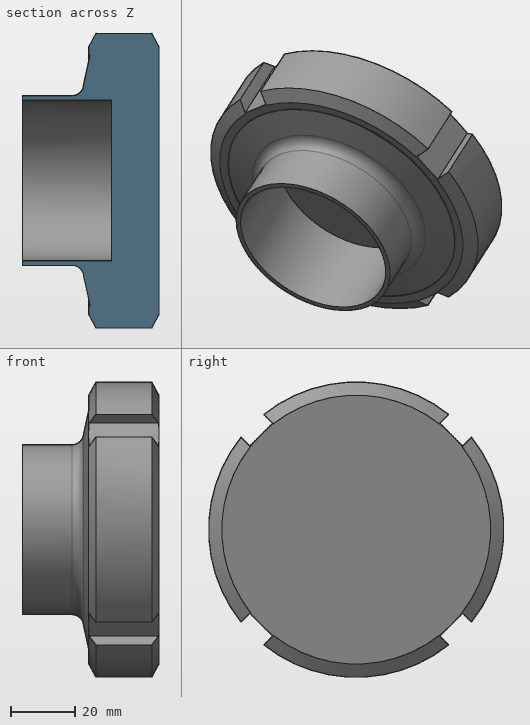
import cadquery as cq

total_length = 42.5

nut_diameter = 92.0
nut_length = 21.9
nut_start = total_length - nut_length
chamfer_length = 2.2
chamfer_depth = 4.1
nut_radius = nut_diameter / 2
nut_face_radius = nut_radius - chamfer_depth

slot_count = 4
slot_width = 10.0
slot_floor_radius = 41.9
first_slot_angle = 45.0

pipe_outer_radius = 53.0 / 2
pipe_bore_radius = 50.0 / 2
bore_depth = 27.7
pipe_length = 15.5
throat_end = 18.95
throat_end_radius = 29.8
collar_radius = 78.0 / 2
collar_end = nut_start + 0.4


def make_nut():
    """Ring blank, chamfered on both rims, with a recess that seats the collar."""
    blank = (
        cq.Workplane("XY")
        .moveTo(nut_start, 0)
        .lineTo(nut_start, nut_face_radius)
        .lineTo(nut_start + chamfer_length, nut_radius)
        .lineTo(total_length - chamfer_length, nut_radius)
        .lineTo(total_length, nut_face_radius)
        .lineTo(total_length, 0)
        .close()
        .revolve(360, (0, 0, 0), (1, 0, 0))
    )
    seat_depth = collar_end - nut_start
    seat = cq.Workplane("YZ", origin=(nut_start, 0, 0)).circle(collar_radius).extrude(seat_depth)
    return blank.cut(seat)


def make_slot(angle):
    """Cutter for one slot, running the full length of the nut."""
    slot = cq.Workplane("XY").box(
        nut_length, slot_width, nut_radius, centered=(False, True, False)
    )
    slot = slot.translate((nut_start, 0, slot_floor_radius))
    return slot.rotate((0, 0, 0), (1, 0, 0), angle)


def make_pipe_and_collar():
    """Pipe that curves tangentially into a shallow cone ending inside the nut."""
    return (
        cq.Workplane("XY")
        .lineTo(0, pipe_outer_radius)
        .lineTo(pipe_length, pipe_outer_radius)
        .tangentArcPoint((throat_end, throat_end_radius), relative=False)
        .lineTo(collar_end, collar_radius)
        .lineTo(collar_end, 0)
        .close()
        .revolve(360, (0, 0, 0), (1, 0, 0))
    )


nut = make_nut()
for index in range(slot_count):
    nut = nut.cut(make_slot(first_slot_angle + index * 360 / slot_count))

bore = cq.Workplane("YZ").circle(pipe_bore_radius).extrude(bore_depth)

result = nut.union(make_pipe_and_collar()).cut(bore)